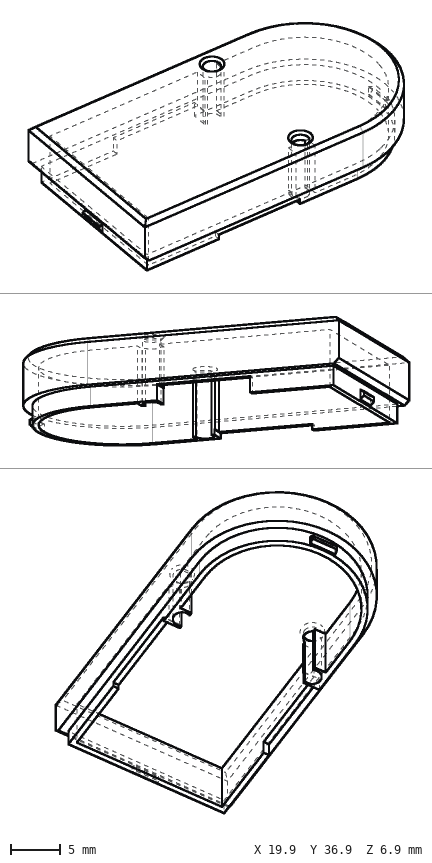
import cadquery as cq

length = 36.92
width = 19.95
height = 6.9
edge_chamfer = 0.5

plug_height = 2.0
plug_inset = 0.92
rim_thickness = 0.63
roof_thickness = 1.0
cavity_inset = plug_inset + rim_thickness

hole_diameter = 1.85
countersink_depth = 0.315
hole_spacing = 15.15
hole_y = 2.5
block_inner_x = 7.15
block_length = 2.35

notch_length = 10.0
notch_center_y = -3.6
left_notch_height = 1.65
right_notch_height = 0.55

nub_width = 2.88
nub_reach = 0.37
nub_bottom = 0.2
nub_flat_bottom = 0.55
nub_flat_top = 1.0
nub_top = 1.18


def arch_prism(inset, bottom, top):
    """Upright prism with a square -Y end and a semicircular +Y end."""
    radius = width / 2 - inset
    arc_center_y = length / 2 - width / 2
    end_y = -length / 2 + inset
    return (
        cq.Workplane("XY", origin=(0, 0, bottom))
        .moveTo(-radius, end_y)
        .lineTo(radius, end_y)
        .lineTo(radius, arc_center_y)
        .threePointArc((0, arc_center_y + radius), (-radius, arc_center_y))
        .close()
        .extrude(top - bottom)
    )


def box_between(x_min, x_max, center_y, size_y, bottom, top):
    return cq.Workplane("XY").box(
        x_max - x_min, size_y, top - bottom, centered=False
    ).translate((x_min, center_y - size_y / 2, bottom))


def cover_body():
    body = arch_prism(0, plug_height, height)
    body = body.faces(">Z").edges().chamfer(edge_chamfer)
    return body.faces("<Z").edges("<Y").chamfer(edge_chamfer)


def screw_block(side):
    """Block from the rim to just past the screw hole axis; side is -1 or 1."""
    outer_x = width / 2 - plug_inset - rim_thickness / 2
    x_min, x_max = sorted((side * block_inner_x, side * outer_x))
    roof_middle = height - roof_thickness / 2
    return box_between(x_min, x_max, hole_y, block_length, 0, roof_middle)


def screw_hole(side):
    """Through hole with a 45 degree countersink at the top."""
    radius = hole_diameter / 2
    profile = [
        (0, 0),
        (radius, 0),
        (radius, height - countersink_depth),
        (radius + countersink_depth, height),
        (0, height),
    ]
    hole = cq.Workplane("XZ").polyline(profile).close().revolve(360, (0, 0), (0, 1))
    return hole.translate((side * hole_spacing / 2, hole_y, 0))


def rim_notch(side, notch_height):
    x_min, x_max = sorted((0, side * width / 2))
    return box_between(x_min, x_max, notch_center_y, notch_length, 0, notch_height)


def snap_nub(end):
    """Trapezoidal nub on the plug end; end is -1 or 1 along Y."""
    plug_end = length / 2 - plug_inset
    root_y = end * (plug_end - rim_thickness / 2)
    face_y = end * plug_end
    tip_y = end * (plug_end + nub_reach)
    profile = [
        (root_y, nub_bottom),
        (face_y, nub_bottom),
        (tip_y, nub_flat_bottom),
        (tip_y, nub_flat_top),
        (face_y, nub_top),
        (root_y, nub_top),
    ]
    return cq.Workplane("YZ").polyline(profile).close().extrude(nub_width / 2, both=True)


result = cover_body().union(arch_prism(plug_inset, 0, plug_height))
result = result.cut(arch_prism(cavity_inset, 0, height - roof_thickness))

for side, notch_height in ((-1, left_notch_height), (1, right_notch_height)):
    result = result.union(screw_block(side))
    result = result.cut(screw_hole(side))
    result = result.cut(rim_notch(side, notch_height))

for end in (-1, 1):
    result = result.union(snap_nub(end))